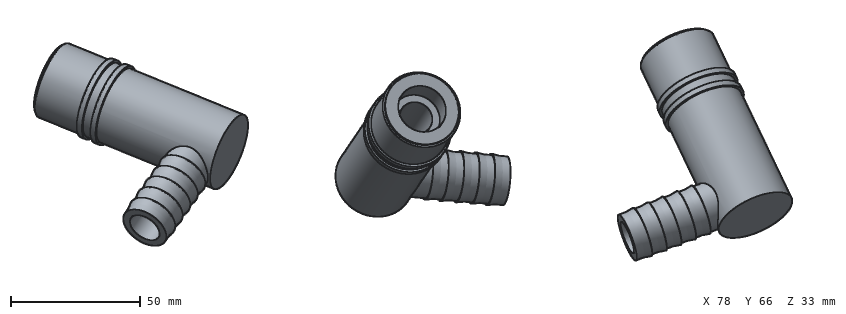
import cadquery as cq

TOTAL_LENGTH = 78.0
TUBE_DIAMETER = 31.05
LIP_DIAMETER = 29.3
LIP_LENGTH = 0.9

SOCKET_DIAMETER = 19.0
SOCKET_DEPTH = 10.0
BORE_DIAMETER = 13.0

RING_DIAMETER = 33.0
RING_WIDTH = 2.3
RING_COUNT = 2
RING_PITCH = 6.0
FIRST_RING_X = 19.8

SPOUT_X = 67.5
OVERALL_WIDTH = 66.0
SPOUT_REACH = OVERALL_WIDTH - RING_DIAMETER / 2
SPOUT_DIAMETER = 19.0
BARB_DIAMETER = 20.1
BARB_LENGTH = 3.1
BARB_COUNT = 5
BARB_PITCH = 6.2
FIRST_BARB = 18.6


def rod_along_x(diameter, start, length):
    """Solid cylinder on the X axis."""
    return cq.Workplane("YZ", origin=(start, 0, 0)).circle(diameter / 2).extrude(length)


def make_tube():
    """Plain tube blank with the stepped-down lip at its open end."""
    lip = rod_along_x(LIP_DIAMETER, 0, LIP_LENGTH)
    barrel = rod_along_x(TUBE_DIAMETER, LIP_LENGTH, TOTAL_LENGTH - LIP_LENGTH)
    return lip.union(barrel)


def make_spout():
    """Spout blank from the tube axis to the tip, with barbs tapering towards the tip."""
    spout_radius = SPOUT_DIAMETER / 2
    barb_radius = BARB_DIAMETER / 2
    outline = cq.Workplane("XY", origin=(SPOUT_X, 0, 0)).lineTo(spout_radius, 0)
    for index in range(BARB_COUNT):
        broad_edge = FIRST_BARB + index * BARB_PITCH
        outline = outline.lineTo(spout_radius, -broad_edge)
        outline = outline.lineTo(barb_radius, -broad_edge)
        outline = outline.lineTo(spout_radius, -(broad_edge + BARB_LENGTH))
    outline = outline.lineTo(spout_radius, -SPOUT_REACH).lineTo(0, -SPOUT_REACH).close()
    return outline.revolve(360, (0, 0, 0), (0, 1, 0))


def make_passage():
    """Socket plus the bore, which turns through a mitred right angle."""
    socket = rod_along_x(SOCKET_DIAMETER, 0, SOCKET_DEPTH)
    bore_path = cq.Workplane("XY").polyline([(0, 0), (SPOUT_X, 0), (SPOUT_X, -SPOUT_REACH)])
    bore = cq.Workplane("YZ").circle(BORE_DIAMETER / 2).sweep(bore_path, transition="right")
    return socket.union(bore)


def make_housing():
    """Elbow housing: tube and spout in one piece, with the passage cut through."""
    return make_tube().union(make_spout()).cut(make_passage())


def make_seal_ring(start):
    """Flat band fitted closely around the tube."""
    band = rod_along_x(RING_DIAMETER, start, RING_WIDTH)
    return band.cut(rod_along_x(TUBE_DIAMETER, start, RING_WIDTH))


housing = make_housing()
seal_rings = [make_seal_ring(FIRST_RING_X + index * RING_PITCH) for index in range(RING_COUNT)]

result = cq.Compound.makeCompound([housing.solids().val(), *[ring.solids().val() for ring in seal_rings]])